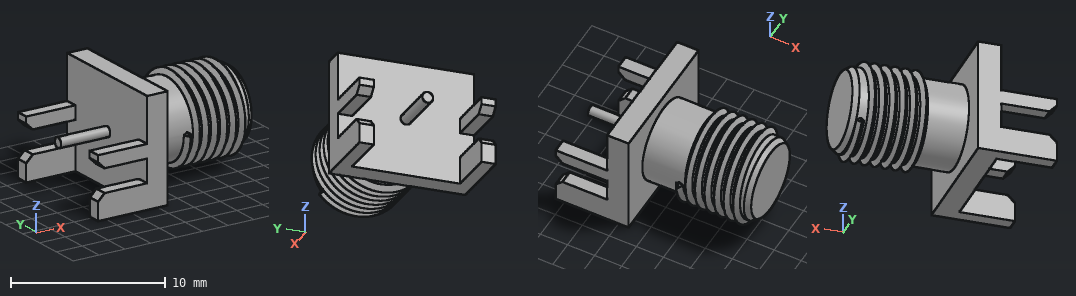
import cadquery as cq
import math

overall_length = 13.3
plate_width = 9.52
plate_height = 7.91
plate_thickness = 1.6
leg_length = 3.8
plate_front = leg_length + plate_thickness

leg_width = 1.0
lower_leg_height = 1.86
leg_gap = 1.72
upper_leg_height = 1.01
leg_chamfer = 0.5

pin_diameter = 0.76

barrel_radius = 5.8 / 2
barrel_chamfer_length = 0.4
barrel_chamfer_depth = 0.27

thread_start = 8.13
thread_pitch = 0.7
thread_crest_radius = 3.34
thread_root_width = 0.53
thread_turns = 6.4
runout_angle = 4
thread_embed = 0.05


def make_plate():
    return cq.Workplane("XY").box(
        plate_thickness, plate_width, plate_height, centered=(False, True, True)
    ).translate((leg_length, 0, 0))


def make_legs(side):
    """Upper and lower leg at one edge of the plate; side is -1 or 1 along Y."""
    center_y = side * (plate_width - leg_width) / 2
    lower_base = -plate_height / 2
    upper_base = lower_base + lower_leg_height + leg_gap

    def leg(base, height, chamfered_edge):
        return (
            cq.Workplane("XY")
            .box(leg_length, leg_width, height, centered=(False, True, False))
            .edges(chamfered_edge)
            .chamfer(leg_chamfer)
            .translate((0, center_y, base))
        )

    lower_leg = leg(lower_base, lower_leg_height, "<X and >Z")
    upper_leg = leg(upper_base, upper_leg_height, "<X and <Z")
    return lower_leg.union(upper_leg)


def make_barrel():
    return (
        cq.Workplane("XY")
        .moveTo(plate_front, 0)
        .lineTo(plate_front, barrel_radius)
        .lineTo(overall_length - barrel_chamfer_length, barrel_radius)
        .lineTo(overall_length, barrel_radius - barrel_chamfer_depth)
        .lineTo(overall_length, 0)
        .close()
        .revolve(360, (0, 0, 0), (1, 0, 0))
    )


def thread_point(radius, angle, offset=0):
    """Point on the thread helix, in a frame whose Z is the thread axis."""
    turn = math.radians(angle)
    height = thread_pitch * angle / 360 + offset
    return cq.Vector(radius * math.cos(turn), radius * math.sin(turn), height)


def thread_section(angle):
    """Corners of the triangular thread section: two at the root, one at the crest."""
    slope = thread_root_width / 2 / (thread_crest_radius - barrel_radius)
    root_radius = barrel_radius - thread_embed
    half_width = slope * (thread_crest_radius - root_radius)
    return [
        thread_point(root_radius, angle, -half_width),
        thread_point(thread_crest_radius, angle),
        thread_point(root_radius, angle, half_width),
    ]


def make_runout(section_angle, tip_angle):
    """Pyramid that tapers a thread end down to a point at the barrel surface."""
    corners = thread_section(section_angle)
    tip = thread_point(barrel_radius - thread_embed, tip_angle)
    triangles = [corners]
    for i in range(len(corners)):
        triangles.append([corners[i - 1], corners[i], tip])
    faces = [cq.Face.makeFromWires(cq.Wire.makePolygon(t, close=True)) for t in triangles]
    return cq.Solid.makeSolid(cq.Shell.makeShell(faces))


def make_thread():
    end_angle = 360 * thread_turns
    first_section = runout_angle
    last_section = end_angle - runout_angle
    swept_height = thread_pitch * (last_section - first_section) / 360
    path = cq.Wire.makeHelix(thread_pitch, swept_height, barrel_radius)
    profile = cq.Workplane("XY").add(cq.Wire.makePolygon(thread_section(0), close=True)).toPending()
    ridge = (
        profile.sweep(cq.Workplane(path), isFrenet=True)
        .rotate((0, 0, 0), (0, 0, 1), first_section)
        .translate((0, 0, thread_pitch * first_section / 360))
    )
    frame = cq.Plane(origin=(thread_start, 0, 0), xDir=(0, -1, 0), normal=(1, 0, 0))
    pieces = [ridge.val(), make_runout(first_section, 0), make_runout(last_section, end_angle)]
    return [piece.moved(cq.Location(frame)) for piece in pieces]


def make_housing():
    housing = make_plate().union(make_barrel())
    for side in (-1, 1):
        housing = housing.union(make_legs(side))
    for piece in make_thread():
        housing = housing.union(cq.Workplane(piece))
    return housing


def make_pin():
    """Round contact that butts against the back of the plate."""
    return cq.Workplane("YZ").circle(pin_diameter / 2).extrude(leg_length)


housing = make_housing()
pin = make_pin()

result = cq.Compound.makeCompound([housing.solids().val(), pin.val()])